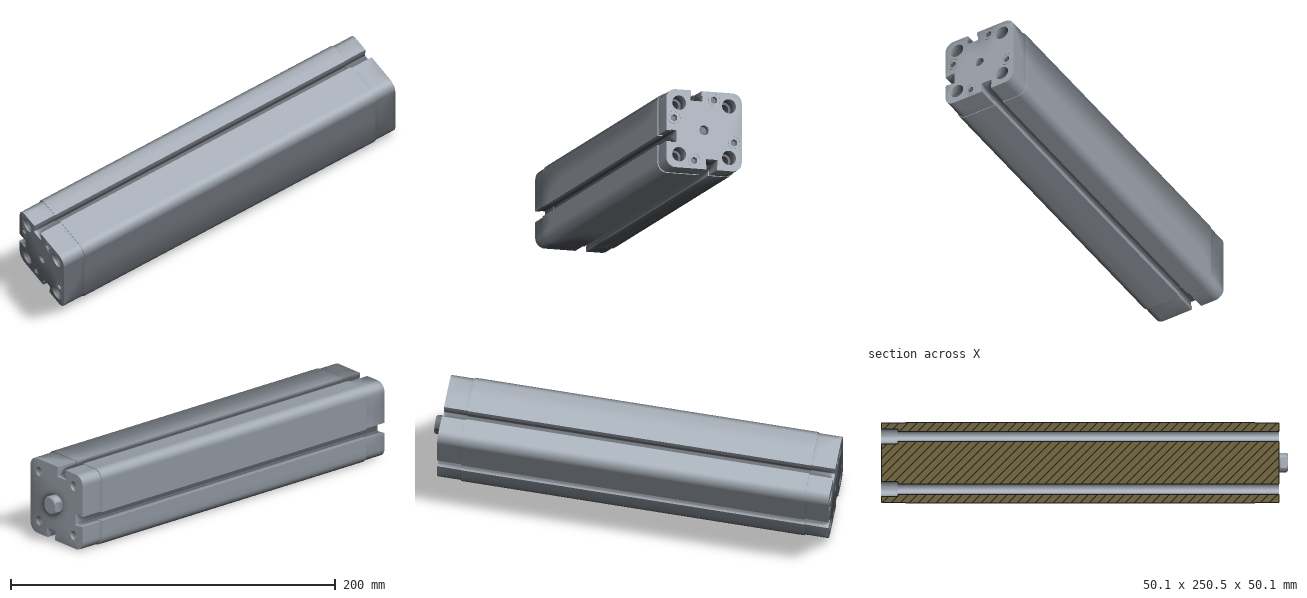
import cadquery as cq
import math

body_length = 215.0
cap_length = 15.0
rod_projection = 5.5

body_width = 50.1
cap_width = 49.2
corner_radius = 6.0

slot_offset = 5.0
slot_turns = [0, 90, 180]
body_slot_mouth = 5.8
cap_slot_mouth = 6.8
slot_inner_width = 7.7
body_slot_floor = 17.6
cap_slot_floor = 18.1
slot_ledge_height = 21.6
slot_corner_radius = 0.5

mount_spacing = 32.5
mount_hole_diameter = 6.0
mount_counterbore_diameter = 9.0
mount_counterbore_depth = 10.0

screw_offset = 6.5
screw_height = 19.5
screw_turns = [0, 90, 180, 270]
screw_head_diameter = 7.5
screw_recess_diameter = 8.0
screw_gap_depth = 0.25
screw_socket_width = 4.0
screw_socket_depth = 3.0

centre_hole_diameter = 6.0
centre_hole_depth = 4.0

rod_diameter = 12.0
rod_flat_width = 10.0
rod_flat_length = 4.3
rod_chamfer = 0.85

total_length = body_length + 2 * cap_length + rod_projection
front_y = -total_length / 2
body_start_y = front_y + cap_length
body_end_y = body_start_y + body_length
back_y = body_end_y + cap_length
rod_end_y = back_y + rod_projection


def plane_at(y):
    """Sketch plane normal to +Y, with local x along -X and local y along +Z."""
    return cq.Workplane(cq.Plane(origin=(0, y, 0), xDir=(-1, 0, 0), normal=(0, 1, 0)))


def turned(shape, angle):
    """Turn a shape about the part's axis, from the +Z side toward the -X side."""
    return shape.rotate((0, 0, 0), (0, 1, 0), -angle)


def rounded_bar(width, start_y, length):
    bar = plane_at(start_y).rect(width, width).extrude(length)
    return bar.edges("|Y").fillet(corner_radius)


def t_slot(mouth, floor, start_y, length):
    """Cutter for one T-slot opening upward on the +Z side."""
    inner_depth = slot_ledge_height - floor
    wide = (
        plane_at(start_y)
        .center(slot_offset, floor + inner_depth / 2)
        .rect(slot_inner_width, inner_depth)
        .extrude(length)
        .edges("|Y")
        .edges("<Z")
        .fillet(slot_corner_radius)
    )
    mouth_height = body_width - slot_ledge_height
    neck = (
        plane_at(start_y)
        .center(slot_offset, slot_ledge_height + mouth_height / 2)
        .rect(mouth, mouth_height)
        .extrude(length)
    )
    return wide.union(neck)


def slotted_bar(width, mouth, floor, start_y, length):
    bar = rounded_bar(width, start_y, length)
    cutter = t_slot(mouth, floor, start_y, length)
    for angle in slot_turns:
        bar = bar.cut(turned(cutter, angle))
    return bar


def rod_end():
    rod = plane_at(back_y).circle(rod_diameter / 2).extrude(rod_projection)
    rod = rod.faces(">Y").chamfer(rod_chamfer)

    flat_x = rod_flat_width / 2
    flat_start_y = rod_end_y - rod_flat_length
    run_out = rod_diameter / 2 - flat_x
    flat_cutter = (
        cq.Workplane("XY")
        .moveTo(flat_x, rod_end_y)
        .lineTo(flat_x, flat_start_y)
        .lineTo(flat_x + run_out, flat_start_y - run_out)
        .lineTo(flat_x + run_out, rod_end_y)
        .close()
        .extrude(rod_diameter / 2, both=True)
    )
    return rod.cut(flat_cutter).cut(flat_cutter.mirror("YZ"))


def mounting_holes():
    def drill(diameter, depth):
        grid = plane_at(front_y).rect(mount_spacing, mount_spacing, forConstruction=True)
        return grid.vertices().circle(diameter / 2).extrude(depth)

    through = drill(mount_hole_diameter, back_y - front_y)
    return through.union(drill(mount_counterbore_diameter, mount_counterbore_depth))


def cap_screw(angle):
    """Cutter for the gap around one screw head and for its hexagon socket."""
    gap = plane_at(front_y).center(-screw_offset, screw_height)
    gap = gap.circle(screw_recess_diameter / 2).circle(screw_head_diameter / 2)
    gap = turned(gap.extrude(screw_gap_depth), angle)

    socket = plane_at(front_y)
    socket = socket.polygon(6, screw_socket_width, circumscribed=True).extrude(screw_socket_depth)
    turn = math.radians(angle)
    centre_x = screw_offset * math.cos(turn) - screw_height * math.sin(turn)
    centre_z = screw_offset * math.sin(turn) + screw_height * math.cos(turn)
    return gap.union(socket.translate((centre_x, 0, centre_z)))


front_cap = slotted_bar(cap_width, cap_slot_mouth, cap_slot_floor, front_y, cap_length)
body = slotted_bar(body_width, body_slot_mouth, body_slot_floor, body_start_y, body_length)
back_cap = slotted_bar(cap_width, cap_slot_mouth, cap_slot_floor, body_end_y, cap_length)

result = front_cap.union(body).union(back_cap).union(rod_end())
result = result.cut(mounting_holes())
result = result.cut(plane_at(front_y).circle(centre_hole_diameter / 2).extrude(centre_hole_depth))
for angle in screw_turns:
    result = result.cut(cap_screw(angle))